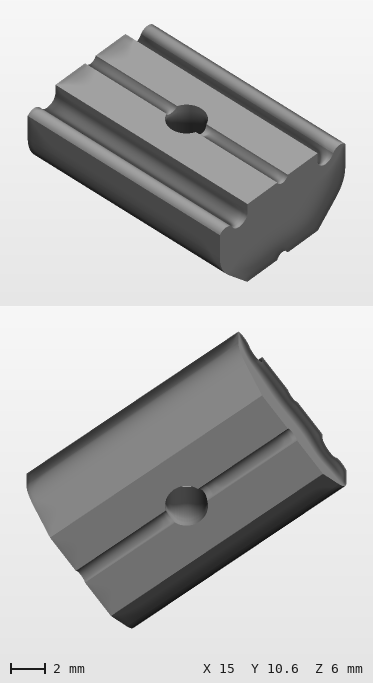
import cadquery as cq
import math

length = 15.0
width = 10.6
height = 6.0
half_width = width / 2

land_half_width = 2.95
land_wall_foot_z = 5.4
groove_center_y = 3.63
groove_floor_z = 4.71
lip_start_y = 4.28
lip_start_z = 5.13
lip_crest_y = 4.75
lip_crest_z = 5.4
lip_edge_z = 5.16

flank_angle = math.radians(45)
corner_radius = 2.55
corner_top_z = 3.38

center_groove_half_width = 0.45
center_groove_depth = 0.33

hole_diameter = 2.46


def corner_point(angle):
    """Point on the rounded corner, turned down by angle from the side."""
    y = half_width - corner_radius * (1 - math.cos(angle))
    z = corner_top_z - corner_radius * math.sin(angle)
    return y, z


def make_half_profile():
    """Closed +Y half of the cross-section."""
    flank_top_y, flank_top_z = corner_point(flank_angle)
    bottom_half_width = flank_top_y - flank_top_z / math.tan(flank_angle)
    return (
        cq.Workplane("YZ", origin=(-length / 2, 0, 0))
        .moveTo(0, 0)
        .lineTo(bottom_half_width, 0)
        .lineTo(flank_top_y, flank_top_z)
        .threePointArc(corner_point(flank_angle / 2), (half_width, corner_top_z))
        .lineTo(half_width, lip_edge_z)
        .threePointArc((lip_crest_y, lip_crest_z), (lip_start_y, lip_start_z))
        .threePointArc((groove_center_y, groove_floor_z), (land_half_width, land_wall_foot_z))
        .lineTo(land_half_width, height)
        .lineTo(0, height)
        .close()
    )


def make_center_groove(face_z, direction):
    """Round cutter running along X, with its depth measured from face_z."""
    radius = (center_groove_half_width**2 + center_groove_depth**2) / (2 * center_groove_depth)
    axis_z = face_z + direction * (radius - center_groove_depth)
    return (
        cq.Workplane("YZ", origin=(-length / 2, 0, axis_z))
        .circle(radius)
        .extrude(length)
    )


half_body = make_half_profile().extrude(length)
body = half_body.union(half_body.mirror("XZ")).clean()

for face_z, direction in ((height, 1), (0, -1)):
    body = body.cut(make_center_groove(face_z, direction))

hole = cq.Workplane("XY").circle(hole_diameter / 2).extrude(height)
result = body.cut(hole)